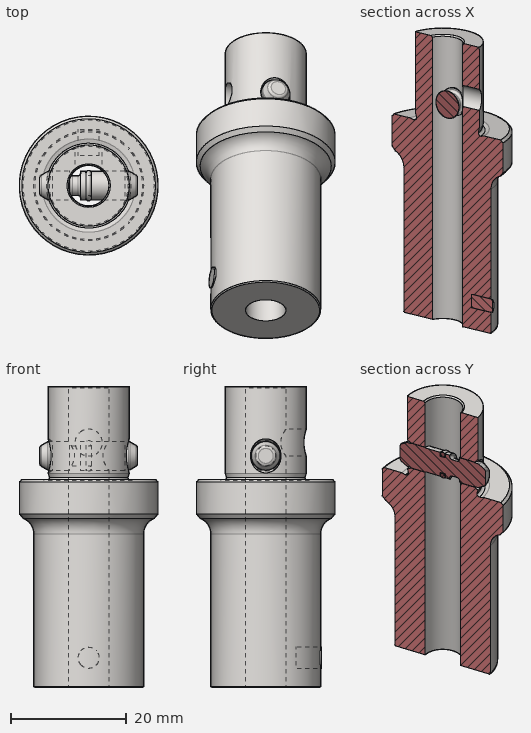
import cadquery as cq
import math

height = 52.0
flange_radius = 12.0
shank_radius = 9.5
neck_radius = 7.0
bore_radius = 3.5
bore_chamfer = 0.25
foot_chamfer = 0.2

flange_top = 36.0
flange_bottom = 30.0
flange_top_chamfer = 0.45
flange_bottom_chamfer_width = 0.7
flange_bottom_chamfer_height = 0.8
shank_fillet = 2.85

undercut_top = 37.0
undercut_neck_radius = 6.8
undercut_fillet = 0.5
undercut_lip_radius = 8.05
undercut_face_depth = 0.2

pin_height = 40.05
pin_radius = 2.5
pin_half_length = 8.5
pin_taper_start = 7.0
taper_angle = 30.0
pin_tip_radius = pin_radius - (pin_half_length - pin_taper_start) * math.tan(math.radians(taper_angle))
pin_tip_round = 0.6
pin_taper_round = 0.55
pin_hole_mouth_start = 6.25
pin_hole_reach = 7.8

detent_center = -2.35
detent_width = 1.85
detent_radius = 1.7
detent_fillet = 0.45

ring_section_radius = 0.45
ring_outer_radius = 2.65
ring_center_radius = ring_outer_radius - ring_section_radius
ring_groove_radius = ring_center_radius - ring_section_radius

side_hole_height = 42.35
side_hole_radius = 2.35
plug_height = 5.15
plug_radius = 1.8
plug_outer_end = 9.65
plug_inner_end = 5.2


def cylinder_along(direction, start, radius, length):
    return cq.Workplane(cq.Solid.makeCylinder(radius, length, cq.Vector(*start), cq.Vector(*direction)))


def turned_housing():
    chamfer_end_radius = flange_radius - flange_bottom_chamfer_width
    chamfer_end_height = flange_bottom - flange_bottom_chamfer_height
    fillet_center_radius = shank_radius + shank_fillet
    sweep = math.acos((fillet_center_radius - chamfer_end_radius) / shank_fillet)
    fillet_start = chamfer_end_height - shank_fillet * math.sin(sweep)
    fillet_middle = (
        fillet_center_radius - shank_fillet * math.cos(sweep / 2),
        fillet_start + shank_fillet * math.sin(sweep / 2),
    )
    undercut_floor = flange_top - undercut_face_depth
    undercut_middle = (
        undercut_neck_radius + undercut_fillet * (1 - math.cos(math.pi / 4)),
        undercut_floor + undercut_fillet * (1 - math.sin(math.pi / 4)),
    )
    profile = (
        cq.Workplane("XZ")
        .moveTo(bore_radius, 0)
        .lineTo(shank_radius - foot_chamfer, 0)
        .lineTo(shank_radius, foot_chamfer)
        .lineTo(shank_radius, fillet_start)
        .threePointArc(fillet_middle, (chamfer_end_radius, chamfer_end_height))
        .lineTo(flange_radius, flange_bottom)
        .lineTo(flange_radius, flange_top - flange_top_chamfer)
        .lineTo(flange_radius - flange_top_chamfer, flange_top)
        .lineTo(undercut_lip_radius, flange_top)
        .lineTo(undercut_neck_radius + undercut_fillet, undercut_floor)
        .threePointArc(undercut_middle, (undercut_neck_radius, undercut_floor + undercut_fillet))
        .lineTo(neck_radius, undercut_top)
        .lineTo(neck_radius, height)
        .lineTo(bore_radius + bore_chamfer, height)
        .lineTo(bore_radius, height - bore_chamfer)
        .close()
    )
    return profile.revolve(360, (0, 0), (0, 1))


def pin_hole():
    mouth_length = pin_hole_reach - pin_hole_mouth_start
    mouth_radius = pin_radius + mouth_length * math.tan(math.radians(taper_angle))
    hole = cylinder_along((1, 0, 0), (-pin_hole_reach, 0, pin_height), pin_radius, 2 * pin_hole_reach)
    for side in (-1, 1):
        mouth = cq.Solid.makeCone(
            pin_radius,
            mouth_radius,
            mouth_length,
            cq.Vector(side * pin_hole_mouth_start, 0, pin_height),
            cq.Vector(side, 0, 0),
        )
        hole = hole.union(cq.Workplane(mouth))
    return hole


def plug_shape():
    return cylinder_along(
        (0, 1, 0), (0, plug_inner_end, plug_height), plug_radius, plug_outer_end - plug_inner_end
    )


def make_housing():
    side_hole = cylinder_along((0, 1, 0), (0, 0, side_hole_height), side_hole_radius, flange_radius)
    return turned_housing().cut(pin_hole()).cut(side_hole).cut(plug_shape())


def turned_groove(center, width, floor_radius):
    outer = cylinder_along((1, 0, 0), (center - width / 2, 0, pin_height), 2 * pin_radius, width)
    core = cylinder_along((1, 0, 0), (center - width / 2, 0, pin_height), floor_radius, width)
    return outer.cut(core)


def make_pin():
    blank = (
        cq.Workplane("XZ")
        .polyline([
            (-pin_half_length, pin_height),
            (-pin_half_length, pin_height + pin_tip_radius),
            (-pin_taper_start, pin_height + pin_radius),
            (pin_taper_start, pin_height + pin_radius),
            (pin_half_length, pin_height + pin_tip_radius),
            (pin_half_length, pin_height),
        ])
        .close()
        .revolve(360, (0, pin_height), (1, pin_height))
        .faces("<X or >X")
        .edges()
        .fillet(pin_tip_round)
        .edges(cq.selectors.RadiusNthSelector(-1))
        .fillet(pin_taper_round)
    )
    floor_edges = cq.selectors.RadiusNthSelector(0)
    detent = turned_groove(detent_center, detent_width, detent_radius)
    detent = detent.edges("%CIRCLE").edges(floor_edges).fillet(detent_fillet)
    ring_groove = turned_groove(0, 2 * ring_section_radius, ring_groove_radius)
    return blank.cut(detent).cut(ring_groove)


def make_ring():
    ring = cq.Solid.makeTorus(
        ring_center_radius, ring_section_radius, cq.Vector(0, 0, pin_height), cq.Vector(1, 0, 0)
    )
    return cq.Workplane(ring)


housing = make_housing()
cross_pin = make_pin()
o_ring = make_ring()
plug = plug_shape()

result = cq.Compound.makeCompound([
    housing.solids().val(),
    cross_pin.solids().val(),
    o_ring.val(),
    plug.val(),
])